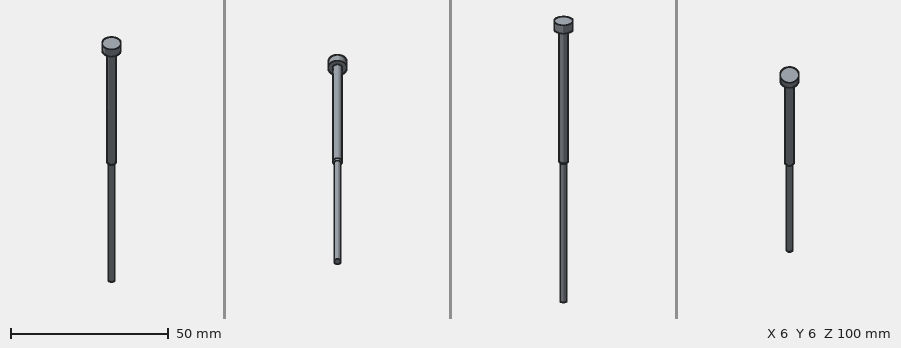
import cadquery as cq
import math

total_length = 100.0
head_diameter = 6.0
head_height = 3.0

shank_diameter = 3.0
tip_diameter = 2.2
shoulder_depth = total_length / 2
cone_half_angle = 30.0

head_radius = head_diameter / 2
shank_radius = shank_diameter / 2
tip_radius = tip_diameter / 2

head_underside = total_length - head_height
cone_top = total_length - shoulder_depth
cone_height = (shank_radius - tip_radius) / math.tan(math.radians(cone_half_angle))
cone_bottom = cone_top - cone_height


def make_pin():
    """Revolve the half profile on the -X side of the axis about Z."""
    half_profile = (
        cq.Workplane("XZ")
        .moveTo(0, 0)
        .lineTo(-tip_radius, 0)
        .lineTo(-tip_radius, cone_bottom)
        .lineTo(-shank_radius, cone_top)
        .lineTo(-shank_radius, head_underside)
        .lineTo(-head_radius, head_underside)
        .lineTo(-head_radius, total_length)
        .lineTo(0, total_length)
        .close()
    )
    return half_profile.revolve(360, (0, 0, 0), (0, 1, 0))


result = make_pin()